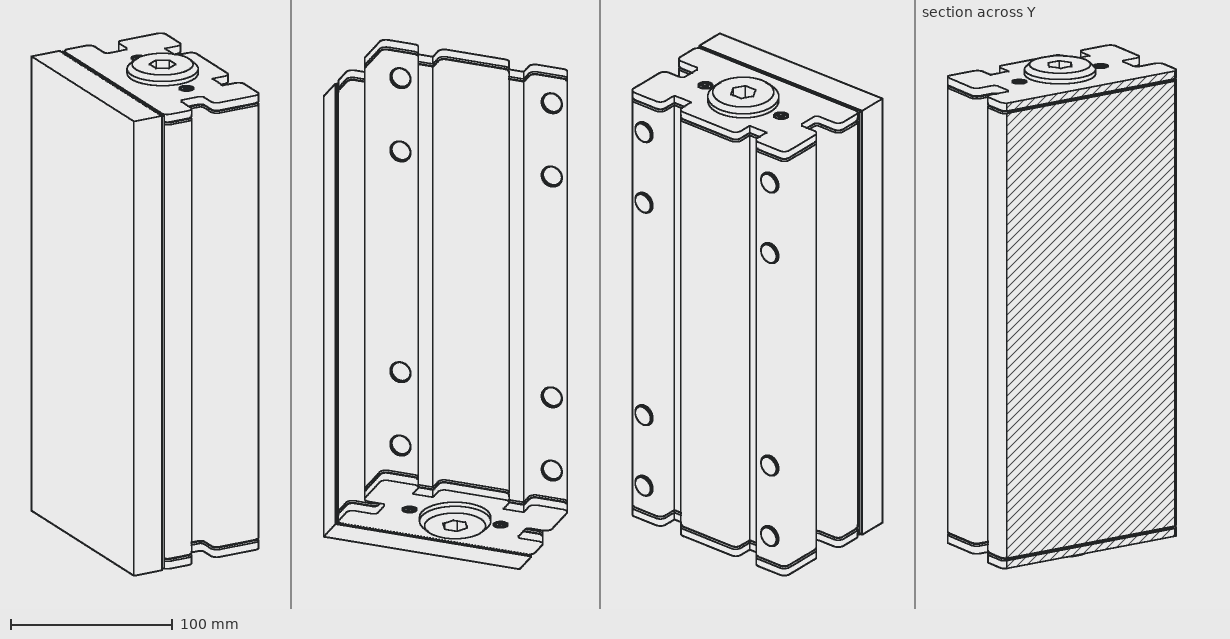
import cadquery as cq

total_length = 312.0
width = 130.0
depth = 93.0
body_length = 300.0
plate_thickness = 20.0
shim_thickness = 2.0
shim_inset = 0.5
rail_back = 91.5

half_width = width / 2
lobe_half_width = 62.0
waist_half_width = 46.8
back_slot_inner = 23.5
back_slot_outer = 36.8
back_slot_depth = 12.8
flange_top = 42.5
lobe_bottom = 58.5
corner_radius = 4.0
slot_root_radius = 2.5

cap_thickness = 6.0
groove_depth = 1.0

plug_diameter = 44.0
plug_height = (total_length - body_length) / 2
plug_chamfer = 3.0
plug_y = 56.5
hex_diameter = 16.2
hex_depth = 12.5

cap_screw_x = 30.3
cap_screw_bore = 9.0
cap_screw_bore_depth = 2.0
cap_screw_head = 7.2
cap_screw_head_height = 1.2
cross_length = 4.7
cross_width = 1.0
cross_depth = 1.0

back_head_diameter = 13.5
back_head_height = depth - rail_back
back_head_chamfer = 0.5
back_head_x = 50.2
back_head_end_distances = (25.0, 75.0)

body_half = body_length / 2
rail_front = plate_thickness + shim_thickness


def on_both_ends(top_feature):
    return top_feature.union(top_feature.mirror("XY"))


def make_plate():
    return cq.Workplane("XY").box(width, plate_thickness, body_length, centered=(True, False, True))


def make_shim():
    """Thin layer between plate and rail, set back from their edges."""
    shim = cq.Workplane("XY").box(
        width - 2 * shim_inset, shim_thickness, body_length - 2 * shim_inset, centered=(True, False, True)
    )
    return shim.translate((0, plate_thickness, 0))


def make_profile_bar(length):
    """Bar with two slots in the back and one in each side, standing on Z = 0."""
    slot_floor = rail_back - back_slot_depth
    right_half = [
        (half_width, rail_front),
        (half_width, flange_top),
        (waist_half_width, flange_top),
        (waist_half_width, lobe_bottom),
        (lobe_half_width, lobe_bottom),
        (lobe_half_width, rail_back),
        (back_slot_outer, rail_back),
        (back_slot_outer, slot_floor),
        (back_slot_inner, slot_floor),
        (back_slot_inner, rail_back),
    ]
    left_half = [(-x, y) for x, y in reversed(right_half)]
    bar = cq.Workplane("XY").polyline(right_half + left_half).close().extrude(length)

    outer_corners = right_half[0:2] + right_half[4:7] + right_half[9:]
    slot_roots = right_half[2:4]
    for corners, radius in ((outer_corners, corner_radius), (slot_roots, slot_root_radius)):
        for x, y in corners:
            for side in (1, -1):
                corner = (side * x, y, length / 2)
                bar = bar.edges(cq.selectors.NearestToPointSelector(corner)).fillet(radius)
    return bar


def make_rail():
    """Rail with an end cap on each end; chamfers at the joints form the V-grooves."""
    middle_length = body_length - 2 * cap_thickness
    middle = make_profile_bar(middle_length).faces("<Z or >Z").chamfer(groove_depth)
    cap = make_profile_bar(cap_thickness).faces("<Z").chamfer(groove_depth)
    rail = middle.translate((0, 0, -middle_length / 2))
    return rail.union(on_both_ends(cap.translate((0, 0, middle_length / 2))))


def make_end_plug():
    """Chamfered round plug on the top end."""
    plug = cq.Workplane("XY", origin=(0, plug_y, body_half)).circle(plug_diameter / 2).extrude(plug_height)
    return plug.faces(">Z").chamfer(plug_chamfer)


def make_hex_socket():
    top = total_length / 2
    return cq.Workplane("XY", origin=(0, plug_y, top)).polygon(6, hex_diameter).extrude(-hex_depth)


def make_cap_screw_recess(x):
    """Material removed around and inside one cross-head screw in the top end."""
    floor_z = body_half - cap_screw_bore_depth
    head_z = floor_z + cap_screw_head_height
    floor = cq.Workplane("XY", origin=(x, plug_y, floor_z))
    bore = floor.circle(cap_screw_bore / 2).extrude(cap_screw_bore_depth)
    head = floor.circle(cap_screw_head / 2).extrude(cap_screw_head_height)
    cross_plane = cq.Workplane("XY", origin=(x, plug_y, head_z))
    cross = cross_plane.rect(cross_length, cross_width).extrude(-cross_depth)
    cross = cross.union(cross_plane.rect(cross_width, cross_length).extrude(-cross_depth))
    return bore.cut(head.cut(cross))


def make_back_head(x, z):
    head = (
        cq.Workplane("XZ", origin=(x, rail_back, z))
        .circle(back_head_diameter / 2)
        .extrude(-back_head_height)
    )
    return head.faces(">Y").chamfer(back_head_chamfer)


result = make_plate().union(make_shim()).union(make_rail())
result = result.union(on_both_ends(make_end_plug())).cut(on_both_ends(make_hex_socket()))

for side in (1, -1):
    result = result.cut(on_both_ends(make_cap_screw_recess(side * cap_screw_x)))
    for distance in back_head_end_distances:
        result = result.union(on_both_ends(make_back_head(side * back_head_x, body_half - distance)))